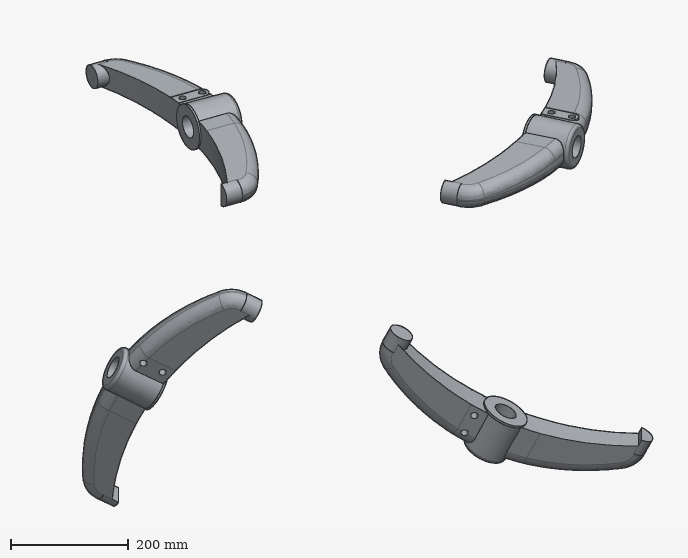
import cadquery as cq
import math


HUB_LENGTH = 85.25
HUB_FRONT_DIAMETER = 80.0
HUB_DRAFT_ANGLE = 0.5
HUB_REAR_FILLET = 6.0
FLANGE_DIAMETER = 80.8
FLANGE_THICKNESS = 4.0
BORE_DIAMETER = 39.0

OVERALL_WIDTH = 494.9
LEG_RADIUS = 20.95
LEG_FRONT = -61.2

ARM_BACK_RADIUS = 404.0
ARM_BACK_CREST = 79.2
ARM_FRONT_RADIUS = 510.0
ARM_FRONT_CREST = 4.5
CORNER_RADIUS = 50.0
ARM_CENTRE_HALF_HEIGHT = 25.8
ARM_LEVEL_HALF_WIDTH = 65.0
ARM_EDGE_FILLET = 20.0

PAD_X = -50.7
PAD_RADIUS = 11.7
PAD_HEIGHT = 0.5
PAD_HOLE_DIAMETER = 12.0
PAD_HOLE_REAR_Y = 55.4
PAD_HOLE_SPACING = 37.8

HALF_WIDTH = OVERALL_WIDTH / 2
LEG_X = HALF_WIDTH - LEG_RADIUS
PAD_TOP = ARM_CENTRE_HALF_HEIGHT + PAD_HEIGHT


def arc_height(crest, radius, x):
    """Y on an arc that is centred on X = 0 and has its crest at Y = crest."""
    return crest - radius + math.sqrt(radius**2 - x**2)


CORNER_X = HALF_WIDTH - CORNER_RADIUS
CORNER_Y = arc_height(ARM_BACK_CREST - CORNER_RADIUS, ARM_BACK_RADIUS - CORNER_RADIUS, CORNER_X)
LEG_LENGTH = CORNER_Y - LEG_FRONT


def back_outline():
    """Closed outline from the bowed back, rounded above each leg, straight to the leg ends."""
    back_centre_y = ARM_BACK_CREST - ARM_BACK_RADIUS
    touch_angle = math.atan2(CORNER_Y - back_centre_y, CORNER_X)
    touch_x = CORNER_X + CORNER_RADIUS * math.cos(touch_angle)
    touch_y = CORNER_Y + CORNER_RADIUS * math.sin(touch_angle)
    corner_mid_x = CORNER_X + CORNER_RADIUS * math.cos(touch_angle / 2)
    corner_mid_y = CORNER_Y + CORNER_RADIUS * math.sin(touch_angle / 2)
    return (
        cq.Workplane("XY")
        .moveTo(-HALF_WIDTH, LEG_FRONT)
        .lineTo(-HALF_WIDTH, CORNER_Y)
        .threePointArc((-corner_mid_x, corner_mid_y), (-touch_x, touch_y))
        .threePointArc((0, ARM_BACK_CREST), (touch_x, touch_y))
        .threePointArc((corner_mid_x, corner_mid_y), (HALF_WIDTH, CORNER_Y))
        .lineTo(HALF_WIDTH, LEG_FRONT)
        .close()
    )


def height_envelope():
    """Body along Y that is level near the hub and tapers towards both legs."""
    slope = (ARM_CENTRE_HALF_HEIGHT - LEG_RADIUS) / (LEG_X - ARM_LEVEL_HALF_WIDTH)
    end_half_height = LEG_RADIUS - slope * (HALF_WIDTH - LEG_X)
    upper = [
        (-HALF_WIDTH, end_half_height),
        (-ARM_LEVEL_HALF_WIDTH, ARM_CENTRE_HALF_HEIGHT),
        (ARM_LEVEL_HALF_WIDTH, ARM_CENTRE_HALF_HEIGHT),
        (HALF_WIDTH, end_half_height),
    ]
    lower = [(x, -z) for x, z in reversed(upper)]
    return (
        cq.Workplane("XZ", origin=(0, ARM_BACK_CREST, 0))
        .polyline(upper + lower)
        .close()
        .extrude(ARM_BACK_CREST - LEG_FRONT)
    )


def front_hollow():
    """Bow-shaped space between the legs, in front of the arms."""
    end_y = arc_height(ARM_FRONT_CREST, ARM_FRONT_RADIUS, LEG_X)
    return (
        cq.Workplane("XY")
        .moveTo(-LEG_X, LEG_FRONT)
        .lineTo(-LEG_X, end_y)
        .threePointArc((0, ARM_FRONT_CREST), (LEG_X, end_y))
        .lineTo(LEG_X, LEG_FRONT)
        .close()
        .extrude(PAD_TOP, both=True)
    )


def arms():
    """Tapered arms with rounded back edges, ready for the legs."""
    blank = back_outline().extrude(ARM_CENTRE_HALF_HEIGHT, both=True)
    tapered = blank.intersect(height_envelope())
    bowed_edges = "not (|X or |Y or |Z)"
    leg_side_edges = "|Y and (<X or >X)"
    rounded = (
        tapered.edges(f"({bowed_edges}) or ({leg_side_edges})")
        .edges("not <Y")
        .fillet(ARM_EDGE_FILLET)
    )
    return rounded.cut(front_hollow()).cut(leg_blanks())


def leg_blanks():
    """Blocks of arm that stand outside the leg axes, where the round legs take their place."""
    centre_x = LEG_X + LEG_RADIUS / 2
    centre_y = LEG_FRONT + LEG_LENGTH / 2
    return (
        cq.Workplane("XY")
        .pushPoints([(-centre_x, centre_y), (centre_x, centre_y)])
        .rect(LEG_RADIUS, LEG_LENGTH)
        .extrude(ARM_CENTRE_HALF_HEIGHT, both=True)
    )


def left_leg():
    """Full cylinder, running back to where the arm corner starts."""
    return cq.Workplane("XZ", origin=(-LEG_X, CORNER_Y, 0)).circle(LEG_RADIUS).extrude(LEG_LENGTH)


def right_leg():
    """Half cylinder with its flat side facing the hub."""
    return (
        cq.Workplane("XZ", origin=(LEG_X, CORNER_Y, 0))
        .moveTo(0, -LEG_RADIUS)
        .threePointArc((LEG_RADIUS, 0), (0, LEG_RADIUS))
        .close()
        .extrude(LEG_LENGTH)
    )


def hub():
    """Hub that narrows slightly to the rear, with a thin flange at the front."""
    body = (
        cq.Workplane("XZ")
        .circle(HUB_FRONT_DIAMETER / 2)
        .extrude(-HUB_LENGTH, taper=HUB_DRAFT_ANGLE)
        .faces(">Y")
        .edges()
        .fillet(HUB_REAR_FILLET)
    )
    flange = cq.Workplane("XZ").circle(FLANGE_DIAMETER / 2).extrude(-FLANGE_THICKNESS)
    return body.union(flange)


def pad():
    """Low pad on the arm, round at the rear and following the arm front."""
    straight = (
        cq.Workplane("XY")
        .moveTo(PAD_X, PAD_HOLE_REAR_Y / 2)
        .rect(2 * PAD_RADIUS, PAD_HOLE_REAR_Y)
        .extrude(PAD_TOP)
    )
    rear_end = (
        cq.Workplane("XY")
        .moveTo(PAD_X, PAD_HOLE_REAR_Y)
        .circle(PAD_RADIUS)
        .extrude(PAD_TOP)
    )
    return straight.union(rear_end).cut(front_hollow())


def pad_holes():
    """Tools for the two holes through the pad and the arm."""
    centres = [(PAD_X, PAD_HOLE_REAR_Y), (PAD_X, PAD_HOLE_REAR_Y - PAD_HOLE_SPACING)]
    return (
        cq.Workplane("XY")
        .pushPoints(centres)
        .circle(PAD_HOLE_DIAMETER / 2)
        .extrude(PAD_TOP, both=True)
    )


def bore():
    """Tool for the bore through the full hub length."""
    return cq.Workplane("XZ").circle(BORE_DIAMETER / 2).extrude(-HUB_LENGTH)


result = (
    arms()
    .union(left_leg())
    .union(right_leg())
    .union(pad())
    .union(hub())
    .cut(pad_holes())
    .cut(bore())
)